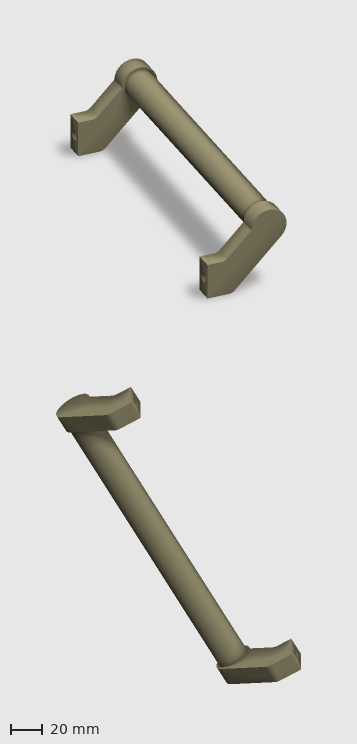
import cadquery as cq
import math

overall_length = 212.0
overall_depth = 54.0
bracket_width = 12.0
boss_diameter = 24.0
bar_diameter = 20.0
foot_height = 24.0
bend_radius = 6.0
hole_diameter = 5.0
hole_depth = 12.0
countersink_diameter = 6.5
countersink_angle = 90.0
drill_tip_angle = 118.0

boss_radius = boss_diameter / 2
half_length = overall_length / 2
foot_face_y = boss_radius - overall_depth
foot_bottom_z = boss_radius - overall_depth
foot_top_z = foot_bottom_z + foot_height
foot_middle_z = (foot_bottom_z + foot_top_z) / 2

tangent_offset = boss_radius * math.sqrt(0.5)
upper_bend_y = -boss_radius + foot_top_z
lower_bend_y = foot_bottom_z + 2 * tangent_offset


def make_bracket(start_x):
    """Bent arm with a round boss at the top and a mounting foot below."""
    arm = (
        cq.Workplane("YZ", origin=(start_x, 0, 0))
        .polyline([
            (0, 0),
            (-boss_radius, 0),
            (upper_bend_y, foot_top_z),
            (foot_face_y, foot_top_z),
            (foot_face_y, foot_bottom_z),
            (lower_bend_y, foot_bottom_z),
            (tangent_offset, -tangent_offset),
        ])
        .close()
        .extrude(bracket_width)
    )
    for bend_y, bend_z in [(upper_bend_y, foot_top_z), (lower_bend_y, foot_bottom_z)]:
        bend_edge = cq.selectors.NearestToPointSelector((start_x + bracket_width / 2, bend_y, bend_z))
        arm = arm.edges("|X").edges(bend_edge).fillet(bend_radius)
    boss = cq.Workplane("YZ", origin=(start_x, 0, 0)).circle(boss_radius).extrude(bracket_width)
    return arm.union(boss)


def make_mounting_hole(center_x):
    """Blind countersunk hole with a conical drill tip, entering the foot face."""
    hole_radius = hole_diameter / 2
    sink_radius = countersink_diameter / 2
    sink_depth = (sink_radius - hole_radius) / math.tan(math.radians(countersink_angle / 2))
    tip_length = hole_radius / math.tan(math.radians(drill_tip_angle / 2))
    return (
        cq.Workplane("XY", origin=(center_x, foot_face_y, foot_middle_z))
        .polyline([
            (0, 0),
            (sink_radius, 0),
            (hole_radius, sink_depth),
            (hole_radius, hole_depth),
            (0, hole_depth + tip_length),
        ])
        .close()
        .revolve(360, (0, 0), (0, 1))
    )


result = cq.Workplane("YZ", origin=(-half_length, 0, 0)).circle(bar_diameter / 2).extrude(overall_length)

for bracket_start in (-half_length, half_length - bracket_width):
    bracket = make_bracket(bracket_start)
    hole = make_mounting_hole(bracket_start + bracket_width / 2)
    result = result.union(bracket.cut(hole))